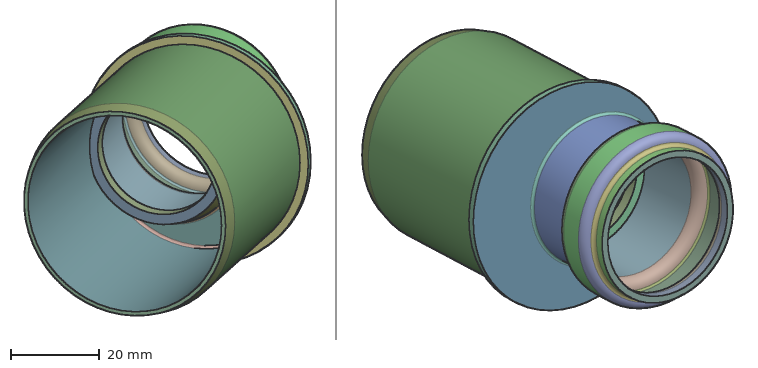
import cadquery as cq
import math

total_length = 75.2
spigot_diameter = 50.2
spigot_bore = 46.6
spigot_chamfer_length = 3.5
spigot_chamfer_depth = 0.8

flange_diameter = 54.2
flange_back = 45.95
flange_front = 47.7
corner_fillet = 0.6

socket_offset = 7.15
neck_diameter = 35.8
mouth_diameter = 36.2
bead_diameter = 42.0
socket_wall = 1.6
bead_start = 62.2
bead_end = 72.0
bead_round = 2.0

stop_bore = 28.4
stop_thickness = 3.0
socket_protrusion = 6.0
stop_taper_length = 4.7
stop_taper_depth = 1.3

neck_radius = neck_diameter / 2
mouth_radius = mouth_diameter / 2
bead_radius = bead_diameter / 2
socket_start = flange_back - socket_protrusion


def cylinder(diameter, start, end, offset=0.0):
    """Solid cylinder along +Y between two Y positions, shifted toward -X."""
    plane = cq.Workplane("XZ", origin=(-offset, start, 0))
    return plane.circle(diameter / 2).extrude(start - end)


def quarter_point(center, radius, x_sign, y_sign):
    """Middle point of a quarter arc in the given direction from its centre."""
    reach = radius * math.sqrt(0.5)
    return (center[0] + x_sign * reach, center[1] + y_sign * reach)


def socket_body(inset, start):
    """Revolved socket shape, with its surface moved inward by inset."""
    neck = neck_radius - inset
    mouth = mouth_radius - inset
    bead = bead_radius - inset
    outer_round = bead_round - inset
    crest = bead_radius - bead_round
    low_round = crest - neck_radius + inset
    high_round = crest - mouth_radius + inset
    low = bead_start + inset
    high = bead_end - inset
    low_neck = low - low_round
    low_crest = low + outer_round
    high_crest = high - outer_round
    high_mouth = high + high_round

    profile = (
        cq.Workplane("XY")
        .moveTo(0, start)
        .lineTo(neck, start)
        .lineTo(neck, low_neck)
        .threePointArc(quarter_point((crest, low_neck), low_round, -1, 1), (crest, low))
        .threePointArc(quarter_point((crest, low_crest), outer_round, 1, -1), (bead, low_crest))
        .lineTo(bead, high_crest)
        .threePointArc(quarter_point((crest, high_crest), outer_round, 1, 1), (crest, high))
        .threePointArc(quarter_point((crest, high_mouth), high_round, -1, -1), (mouth, high_mouth))
        .lineTo(mouth, total_length)
        .lineTo(0, total_length)
        .close()
    )
    return profile.revolve(360, (0, 0, 0), (0, 1, 0)).translate((-socket_offset, 0, 0))


def base_fillet(surface_y, direction):
    """Concave fillet ring between the socket wall and a face of the flange plate."""
    outer = neck_radius + corner_fillet
    tip = surface_y + direction * corner_fillet
    ring = (
        cq.Workplane("XY")
        .moveTo(neck_radius - socket_wall, surface_y)
        .lineTo(outer, surface_y)
        .threePointArc(quarter_point((outer, tip), corner_fillet, -1, -direction), (neck_radius, tip))
        .lineTo(neck_radius - socket_wall, tip)
        .close()
        .revolve(360, (0, 0, 0), (0, 1, 0))
    )
    return ring.translate((-socket_offset, 0, 0))


def spigot_shell():
    """Wide tube with a tapered outer tip and a flange plate on its inner end."""
    spigot_radius = spigot_diameter / 2
    tube = (
        cq.Workplane("XY")
        .moveTo(0, 0)
        .lineTo(spigot_radius - spigot_chamfer_depth, 0)
        .lineTo(spigot_radius, spigot_chamfer_length)
        .lineTo(spigot_radius, flange_back)
        .lineTo(0, flange_back)
        .close()
        .revolve(360, (0, 0, 0), (0, 1, 0))
    )
    return tube.union(cylinder(flange_diameter, flange_back, flange_front)).cut(spigot_cavity())


def spigot_cavity():
    """Bore of the wide tube with a rounded floor edge."""
    return cylinder(spigot_bore, 0, flange_back).faces(">Y").edges().fillet(corner_fillet)


inner_end = cylinder(neck_diameter, socket_start, flange_front, socket_offset)
inner_end = inner_end.faces("<Y").edges().chamfer(stop_taper_length, stop_taper_depth)
inner_end = inner_end.union(base_fillet(flange_back, -1))
inner_end = inner_end.intersect(cylinder(spigot_diameter, 0, flange_front))

outer_end = socket_body(0, flange_front).union(base_fillet(flange_front, 1))

result = spigot_shell().union(inner_end).union(outer_end)
result = result.cut(socket_body(socket_wall, socket_start + stop_thickness))
result = result.cut(cylinder(stop_bore, 0, total_length, socket_offset))